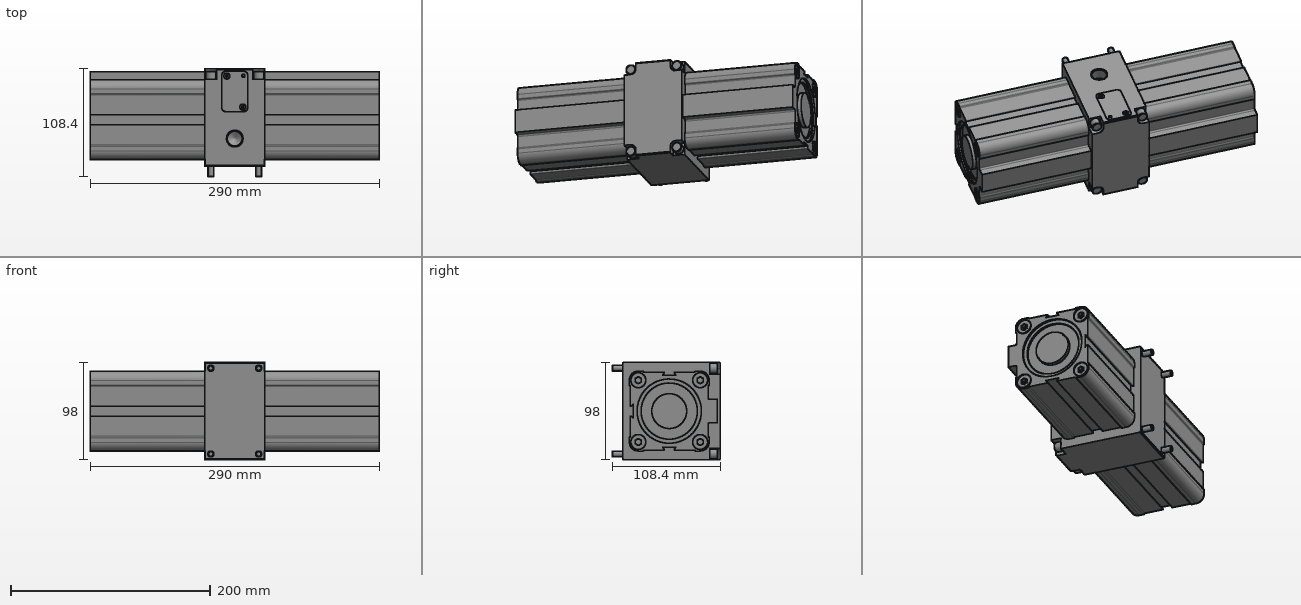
import cadquery as cq
import math

body_length = 290.0
lobe_half = 40.0
face_half = 39.0
lobe_radius = 9.0
lobe_step_center = 25.7
lobe_step_half_width = 0.8
slot_mouth_half = 4.6
slot_lip_radius = 0.4
slot_floor_half = 6.75
slot_depth = 3.0
rail_top = 48.0
rail_half_width = 11.75
rail_root_radius = 1.5

end_recess_diameter = 64.5
end_recess_depth = 2.0
bore_diameter = 56.4
bore_depth = 4.0
boss_diameter = 35.0
screw_offset = lobe_half - lobe_radius
screw_seat_diameter = 15.0
screw_seat_depth = 1.0
screw_socket_flats = 6.0
screw_socket_depth = 5.0

block_width = 60.0
block_side = 98.0
block_center_y = 2.2
block_chamfer = 1.0
block_top = block_side / 2
block_front = block_center_y - block_side / 2
block_back = block_center_y + block_side / 2

bolt_offset_x = 24.0
bolt_offset_z = 43.0
bolt_diameter = 6.0
bolt_tip_chamfer = 0.6
bolt_reach = 10.4
head_diameter = 10.0
head_height = 8.0
head_chamfer = 0.5
pocket_radius = 6.0
pocket_depth = 10.5
pocket_floor_y = block_back - pocket_depth

port_y = -19.0
port_diameter = 14.95
port_mouth_diameter = 16.6
port_depth = 12.0
port_tip_angle = 118.0

cover_width = 26.0
cover_y_min = 8.0
cover_y_max = 48.5
cover_corner_radius = 4.0
cover_sink = 0.1
cover_screws = [(-8.0, 43.7), (8.0, 12.6)]
cover_screw_diameter = 6.0
cover_screw_sink = 0.2
cover_socket_flats = 2.0
cover_socket_depth = 1.0
vent_position = (8.7, 44.0)
vent_diameter = 3.0
vent_depth = 3.0


def box(x_range, y_range, z_range):
    """Axis-aligned box between the given limits."""
    lows, highs = zip(x_range, y_range, z_range)
    sizes = [high - low for low, high in zip(lows, highs)]
    return cq.Workplane("XY").box(*sizes, centered=False).translate(lows)


def cylinder_down(center, diameter, top, depth):
    """Vertical cylinder hanging from height top."""
    return cq.Workplane("XY", origin=(*center, top)).circle(diameter / 2).extrude(-depth)


def make_quadrant():
    """The +Y +Z quarter of the plain section: two flat faces stepping up to one rounded lobe."""
    step_start = lobe_step_center - lobe_step_half_width
    step_end = lobe_step_center + lobe_step_half_width
    step_height = (lobe_half + face_half) / 2
    lobe_center = lobe_half - lobe_radius
    lobe_middle = lobe_center + lobe_radius * math.sqrt(0.5)
    return (
        cq.Workplane("YZ", origin=(-body_length / 2, 0, 0))
        .lineTo(face_half, 0)
        .lineTo(face_half, step_start)
        .tangentArcPoint((step_height, lobe_step_center), relative=False)
        .tangentArcPoint((lobe_half, step_end), relative=False)
        .lineTo(lobe_half, lobe_center)
        .threePointArc((lobe_middle, lobe_middle), (lobe_center, lobe_half))
        .lineTo(step_end, lobe_half)
        .tangentArcPoint((lobe_step_center, step_height), relative=False)
        .tangentArcPoint((step_start, face_half), relative=False)
        .lineTo(0, face_half)
        .close()
        .extrude(body_length)
    )


def make_profile():
    """Square section with four rounded lobes, three dovetail slots and a rail, extruded along X."""
    start = -body_length / 2
    slot_floor = face_half - slot_depth
    slot = (
        cq.Workplane("YZ", origin=(start, 0, 0))
        .moveTo(-slot_mouth_half, face_half)
        .lineTo(slot_mouth_half, face_half)
        .lineTo(slot_floor_half, slot_floor)
        .lineTo(-slot_floor_half, slot_floor)
        .close()
        .extrude(body_length)
    )
    quadrant = make_quadrant()
    profile = quadrant
    for angle in (90, 180, 270):
        profile = profile.union(quadrant.rotate((0, 0, 0), (1, 0, 0), angle))
    profile = profile.clean()
    for angle in (0, 90, 180):
        profile = profile.cut(slot.rotate((0, 0, 0), (1, 0, 0), angle))
    lip_margin = slot_lip_radius / 2
    lip_reach = slot_mouth_half + lip_margin
    across_mouth = (-lip_reach, lip_reach)
    above_face = (face_half - lip_margin, face_half + lip_margin)
    below_face = (-face_half - lip_margin, -face_half + lip_margin)
    lip_zones = [(below_face, across_mouth), (across_mouth, above_face), (across_mouth, below_face)]
    for (y_min, y_max), (z_min, z_max) in lip_zones:
        zone = cq.selectors.BoxSelector((start, y_min, z_min), (-start, y_max, z_max))
        profile = profile.edges("|X").edges(zone).fillet(slot_lip_radius)
    rail = box(
        (start, -start),
        (face_half - slot_depth, rail_top),
        (-rail_half_width, rail_half_width),
    )
    profile = profile.union(rail)
    root_margin = rail_root_radius / 2
    root_width = rail_half_width + root_margin
    rail_root = cq.selectors.BoxSelector(
        (start, face_half - root_margin, -root_width),
        (-start, face_half + root_margin, root_width),
    )
    return profile.edges("|X").edges(rail_root).fillet(rail_root_radius)


def make_end_cuts():
    """Material removed from the -X end: stepped bore around a flush boss, and four sunk socket screws."""
    end = cq.Workplane("YZ", origin=(-body_length / 2, 0, 0))
    cuts = end.circle(end_recess_diameter / 2).extrude(end_recess_depth)
    cuts = cuts.union(end.circle(bore_diameter / 2).extrude(bore_depth))
    cuts = cuts.cut(end.circle(boss_diameter / 2).extrude(bore_depth))
    screws = end.rect(2 * screw_offset, 2 * screw_offset, forConstruction=True).vertices()
    cuts = cuts.union(screws.circle(screw_seat_diameter / 2).extrude(screw_seat_depth))
    socket_total = screw_seat_depth + screw_socket_depth
    return cuts.union(screws.polygon(6, screw_socket_flats, circumscribed=True).extrude(socket_total))


def make_block():
    """Square central block, chamfered along its four X edges."""
    block = cq.Workplane("XY").box(block_width, block_side, block_side)
    return block.edges("|X").chamfer(block_chamfer).translate((0, block_center_y, 0))


def make_head_pocket():
    """Bolt head pocket at the +X +Z corner, open to the outside with a rounded inner corner."""
    pocket = box(
        (bolt_offset_x - pocket_radius, block_width),
        (pocket_floor_y, block_back),
        (bolt_offset_z - pocket_radius, block_side),
    )
    return pocket.edges("|Y and <X and <Z").fillet(pocket_radius)


def make_bolt():
    """Cap screw at the +X +Z corner, its head on the pocket floor and its tip beyond the -Y face."""
    axis = cq.Workplane("XZ", origin=(bolt_offset_x, pocket_floor_y, bolt_offset_z))
    shank = axis.circle(bolt_diameter / 2).extrude(pocket_floor_y - block_front + bolt_reach)
    shank = shank.faces("<Y").chamfer(bolt_tip_chamfer)
    head = axis.circle(head_diameter / 2).extrude(-head_height)
    return shank.union(head.faces(">Y").chamfer(head_chamfer))


def at_four_corners(shape):
    """Copies of a +X +Z corner shape at all four block corners."""
    pair = shape.union(shape.mirror("YZ"))
    return pair.union(pair.mirror("XY"))


def make_port():
    """Blind port with a countersunk mouth and a drill-point bottom."""
    radius = port_diameter / 2
    mouth_radius = port_mouth_diameter / 2
    tip_length = radius / math.tan(math.radians(port_tip_angle / 2))
    return (
        cq.Workplane("XZ")
        .lineTo(mouth_radius, 0)
        .lineTo(radius, radius - mouth_radius)
        .lineTo(radius, -port_depth)
        .lineTo(0, -port_depth - tip_length)
        .close()
        .revolve(360, (0, 0), (0, 1))
        .translate((0, port_y, block_top))
    )


def make_cover_cuts():
    """Shallow recess of the cover plate with its two socket screws and vent hole."""
    half_width = cover_width / 2
    cuts = box((-half_width, half_width), (cover_y_min, cover_y_max), (block_top - cover_sink, block_top))
    cuts = cuts.edges("|Z").fillet(cover_corner_radius)
    for center in cover_screws:
        cuts = cuts.union(cylinder_down(center, cover_screw_diameter, block_top, cover_screw_sink))
        socket = cq.Workplane("XY", origin=(*center, block_top))
        socket = socket.polygon(6, cover_socket_flats, circumscribed=True).extrude(-cover_socket_depth)
        cuts = cuts.union(socket)
    return cuts.union(cylinder_down(vent_position, vent_diameter, block_top, vent_depth))


end_cuts = make_end_cuts()
result = make_profile().cut(end_cuts).cut(end_cuts.mirror("YZ"))
result = result.union(make_block())
result = result.cut(at_four_corners(make_head_pocket()))
result = result.union(at_four_corners(make_bolt()))
result = result.cut(make_port()).cut(make_cover_cuts())